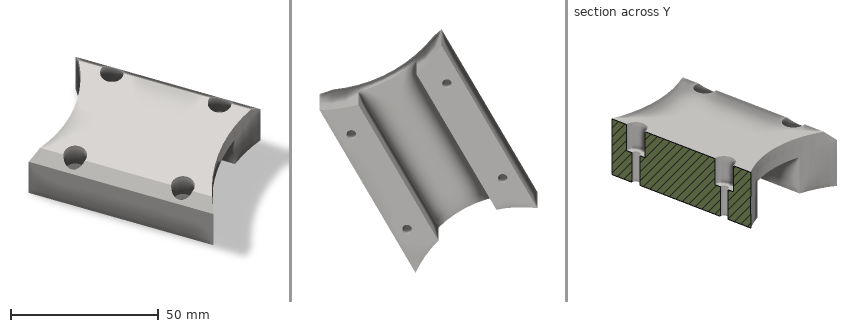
import cadquery as cq

length = 66.53
width = 47.27
height = 21.5
edge_chamfer = 4.0

left_end_depth = 7.9
right_end_depth = 6.05

channel_width = 22.5
roof_thickness = 7.5
channel_height = height - roof_thickness

hole_diameter = 3.2
counterbore_diameter = 8.0
counterbore_depth = 10.0
hole_spacing_x = 38.7
hole_spacing_y = 37.1
hole_pattern_center_x = 1.05

half_length = length / 2
half_width = width / 2


def make_block():
    """Extrude the plan outline, whose two ends are concave arcs."""
    return (
        cq.Workplane("XY")
        .moveTo(-half_length, -half_width)
        .lineTo(half_length, -half_width)
        .threePointArc((half_length - right_end_depth, 0), (half_length, half_width))
        .lineTo(-half_length, half_width)
        .threePointArc((-half_length + left_end_depth, 0), (-half_length, -half_width))
        .close()
        .extrude(height)
    )


def make_cross_section():
    """Full-length bar with the chamfered, channelled YZ profile."""
    half_channel = channel_width / 2
    half_top = half_width - edge_chamfer
    shoulder_height = height - edge_chamfer
    return (
        cq.Workplane("YZ")
        .moveTo(-half_width, 0)
        .lineTo(-half_channel, 0)
        .lineTo(-half_channel, channel_height)
        .lineTo(half_channel, channel_height)
        .lineTo(half_channel, 0)
        .lineTo(half_width, 0)
        .lineTo(half_width, shoulder_height)
        .lineTo(half_top, height)
        .lineTo(-half_top, height)
        .lineTo(-half_width, shoulder_height)
        .close()
        .extrude(half_length, both=True)
    )


def cut_screw_holes(body):
    """Four through holes, counterbored from the top plane."""
    return (
        body.faces(">Z")
        .workplane(origin=(hole_pattern_center_x, 0, height))
        .rarray(hole_spacing_x, hole_spacing_y, 2, 2)
        .cboreHole(hole_diameter, counterbore_diameter, counterbore_depth)
    )


result = cut_screw_holes(make_block().intersect(make_cross_section()))